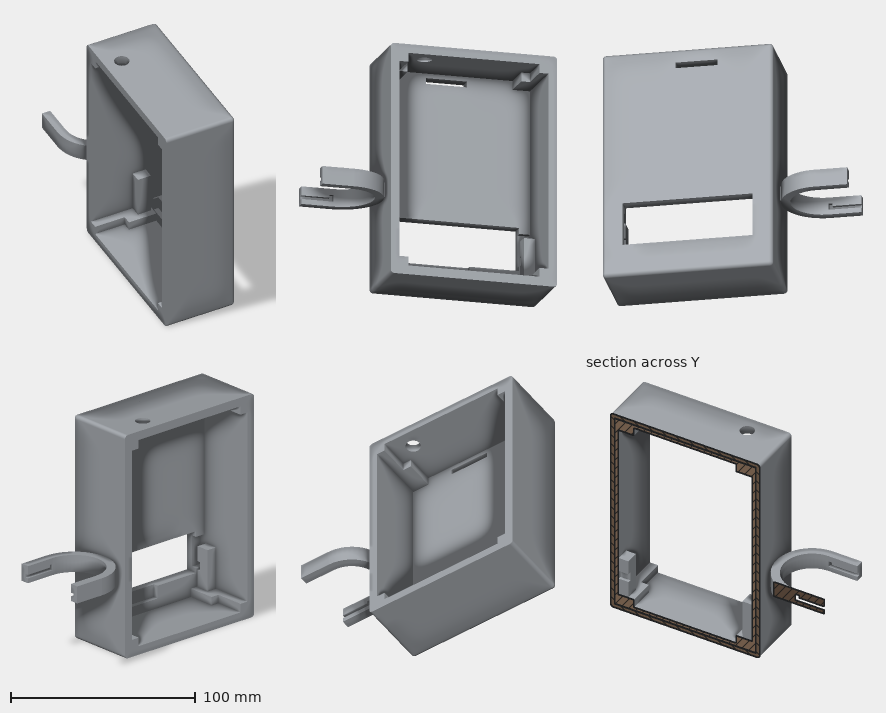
import cadquery as cq


OVERALL_WIDTH = 134.5
CASE_WIDTH = 94.0
CASE_DEPTH = 42.0
CASE_HEIGHT = 130.0
EDGE_RADIUS = 2.0
SEAM_Y = 32.5
PANEL_Y = 34.7

WALL = 5.0
CORNER_STEP = WALL
DEEP_CORNER_Y = 18.0
LIP_INSET = WALL / 2

POST_WIDTH = 6.2
POST_FRONT_Y = 25.4
POST_BACK_Y = 33.4
POST_TOP_Z = 34.0
POST_CUT_FRONT_Y = 31.5
POST_CUT_BOTTOM_Z = 20.2
POST_CUT_TOP_Z = 25.3

CABLE_HOLE_DIAMETER = 8.3
CABLE_HOLE_X = 21.9
CABLE_HOLE_Y = 10.1

WINDOW_BOTTOM_Z = 18.0
WINDOW_TOP_Z = 42.4
SLOT_LEFT_X = 30.3
SLOT_WIDTH = 23.3
SLOT_BOTTOM_Z = 119.3
SLOT_HEIGHT = 3.2
NOTCH_FLOOR_Y = 38.0
NOTCH_BOTTOM_Z = 20.7
NOTCH_TOP_Z = 39.0
SILL_POCKET_FLOOR_Y = 37.5
SILL_POCKET_LEFT_X = 12.0
SILL_POCKET_RIGHT_X = 54.9
SILL_POCKET_BOTTOM_Z = 10.6

CLIP_OUTER_RADIUS = 22.5
CLIP_THICKNESS = 5.0
CLIP_HEIGHT = 10.0
CLIP_BOTTOM_Z = 45.0
CLIP_CENTER_Y = 16.1
CLIP_LENGTH = OVERALL_WIDTH - CASE_WIDTH
GROOVE_SIZE = 2.0
GROOVE_RISE = 2.8
LATCH_HEIGHT = 3.6
PEG_WIDTH = 10.0
PEG_HEIGHT = 8.1
PEG_SKIN = 0.1

INNER_LEFT = WALL
INNER_RIGHT = CASE_WIDTH - WALL
CORNER_TOP_Z = WALL + CORNER_STEP
WINDOW_LEFT_X = WALL + POST_WIDTH
WINDOW_RIGHT_X = CASE_WIDTH - WINDOW_LEFT_X
CLIP_CENTER_X = -CLIP_OUTER_RADIUS
CLIP_INNER_RADIUS = CLIP_OUTER_RADIUS - CLIP_THICKNESS
PEG_LENGTH = CLIP_THICKNESS - PEG_SKIN


def block(x0, x1, y0, y1, z0, z1):
    """Box spanning the given limits along each axis."""
    return cq.Workplane("XY").box(x1 - x0, y1 - y0, z1 - z0, centered=False).translate((x0, y0, z0))


def case_slab(y0, y1):
    """Full case outline with rounded corners, between two depths."""
    slab = block(0, CASE_WIDTH, y0, y1, 0, CASE_HEIGHT)
    return slab.edges("|Y").fillet(EDGE_RADIUS)


def joint_lip():
    """Rim behind the seam that the faceplate fits around."""
    return block(LIP_INSET, CASE_WIDTH - LIP_INSET, SEAM_Y, PANEL_Y, LIP_INSET, CASE_HEIGHT - LIP_INSET)


def cavity(y0, y1, corner_width):
    """Rectangular space with a solid block left in each corner."""
    tall = block(INNER_LEFT + corner_width, INNER_RIGHT - corner_width, y0, y1, WALL, CASE_HEIGHT - WALL)
    wide = block(INNER_LEFT, INNER_RIGHT, y0, y1, CORNER_TOP_Z, CASE_HEIGHT - CORNER_TOP_Z)
    return tall.union(wide)


def mounting_peg():
    """Peg on the case side that the clip is seated on."""
    peg_z = CLIP_BOTTOM_Z + (CLIP_HEIGHT - PEG_HEIGHT) / 2
    return block(
        -PEG_LENGTH, 0,
        CLIP_CENTER_Y - PEG_WIDTH / 2, CLIP_CENTER_Y + PEG_WIDTH / 2,
        peg_z, peg_z + PEG_HEIGHT,
    )


def make_housing():
    body = case_slab(0, SEAM_Y).union(joint_lip())
    body = body.cut(cavity(0, DEEP_CORNER_Y, CORNER_STEP))
    body = body.cut(cavity(DEEP_CORNER_Y, PANEL_Y, 2 * CORNER_STEP))

    for post_left in (INNER_LEFT, WINDOW_RIGHT_X):
        post = block(post_left, post_left + POST_WIDTH, POST_FRONT_Y, POST_BACK_Y, CORNER_TOP_Z, POST_TOP_Z)
        body = body.union(post)

    post_cut = block(
        WINDOW_RIGHT_X, INNER_RIGHT, POST_CUT_FRONT_Y, POST_BACK_Y, POST_CUT_BOTTOM_Z, POST_CUT_TOP_Z
    )
    cable_hole = (
        cq.Workplane("XY", origin=(CABLE_HOLE_X, CABLE_HOLE_Y, CASE_HEIGHT - WALL))
        .circle(CABLE_HOLE_DIAMETER / 2)
        .extrude(WALL)
    )
    return body.cut(post_cut).cut(cable_hole).union(mounting_peg())


def make_faceplate():
    plate = case_slab(SEAM_Y, CASE_DEPTH).faces(">Y").edges().fillet(EDGE_RADIUS)
    plate = plate.cut(joint_lip())
    window = block(WINDOW_LEFT_X, WINDOW_RIGHT_X, PANEL_Y, CASE_DEPTH, WINDOW_BOTTOM_Z, WINDOW_TOP_Z)
    slot = block(
        SLOT_LEFT_X, SLOT_LEFT_X + SLOT_WIDTH,
        PANEL_Y, CASE_DEPTH,
        SLOT_BOTTOM_Z, SLOT_BOTTOM_Z + SLOT_HEIGHT,
    )
    side_notch = block(WINDOW_RIGHT_X, INNER_RIGHT, PANEL_Y, NOTCH_FLOOR_Y, NOTCH_BOTTOM_Z, NOTCH_TOP_Z)
    sill_pocket = block(
        SILL_POCKET_LEFT_X, SILL_POCKET_RIGHT_X,
        PANEL_Y, SILL_POCKET_FLOOR_Y,
        SILL_POCKET_BOTTOM_Z, WINDOW_BOTTOM_Z,
    )
    return plate.cut(window).cut(slot).cut(side_notch).cut(sill_pocket)


def u_shape(radius):
    """Solid U outline, open towards -X, at the clip's height."""
    return (
        cq.Workplane("XY", origin=(0, CLIP_CENTER_Y, CLIP_BOTTOM_Z))
        .moveTo(-CLIP_LENGTH, -radius)
        .lineTo(CLIP_CENTER_X, -radius)
        .threePointArc((CLIP_CENTER_X + radius, 0), (CLIP_CENTER_X, radius))
        .lineTo(-CLIP_LENGTH, radius)
        .close()
        .extrude(CLIP_HEIGHT)
    )


def arm_grooves():
    """Cutter for the groove inside both arms, turning up into a latch at its closed end."""
    reach = CLIP_INNER_RADIUS + GROOVE_SIZE
    front = CLIP_CENTER_Y - reach
    back = CLIP_CENTER_Y + reach
    bottom = CLIP_BOTTOM_Z + GROOVE_RISE
    groove = block(-CLIP_LENGTH, CLIP_CENTER_X, front, back, bottom, bottom + GROOVE_SIZE)
    latch = block(CLIP_CENTER_X - GROOVE_SIZE, CLIP_CENTER_X, front, back, bottom, bottom + LATCH_HEIGHT)
    return groove.union(latch)


def make_clip():
    clip = u_shape(CLIP_OUTER_RADIUS).cut(u_shape(CLIP_INNER_RADIUS))
    return clip.cut(arm_grooves()).cut(mounting_peg())


housing = make_housing().solids()
faceplate = make_faceplate().solids()
clip = make_clip().solids()

result = cq.Compound.makeCompound([housing.val(), faceplate.val(), clip.val()])